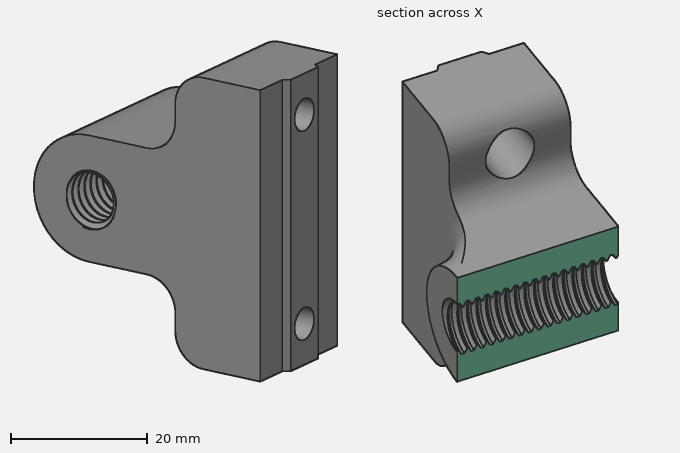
import cadquery as cq
import math

boss_radius = 9.75
boss_length = 26.5
bore_diameter = 7.9

thread_diameter = 9.55
thread_pitch = 1.58
thread_root_width = 0.45
thread_mouth_width = 1.35
thread_start_angle = -10

plate_front = 15.3
plate_back = 30.38
plate_height = 45.0
plate_depth = 20.0
corner_radius = 5.0

tongue_height = 1.0
tongue_width = 8.55
tongue_taper = 0.7

screw_diameter = 5.0
counterbore_diameter = 8.0
counterbore_floor_thickness = 5.0
screw_spacing = 32.25

mid_depth = plate_depth / 2


def bracket_prism(depth):
    """T-shaped side outline extruded along +Y from the front face."""
    half_height = plate_height / 2
    outline = (
        cq.Workplane("XZ")
        .moveTo(0, boss_radius)
        .lineTo(plate_front - corner_radius, boss_radius)
        .radiusArc((plate_front, boss_radius + corner_radius), -corner_radius)
        .lineTo(plate_front, half_height - corner_radius)
        .radiusArc((plate_front + corner_radius, half_height), corner_radius)
        .lineTo(plate_back, half_height)
        .lineTo(plate_back, -half_height)
        .lineTo(plate_front + corner_radius, -half_height)
        .radiusArc((plate_front, corner_radius - half_height), corner_radius)
        .lineTo(plate_front, -boss_radius - corner_radius)
        .radiusArc((plate_front - corner_radius, -boss_radius), -corner_radius)
        .lineTo(0, -boss_radius)
        .threePointArc((-boss_radius, 0), (0, boss_radius))
        .close()
    )
    return outline.extrude(-depth)


def flared_boss():
    """Boss cylinder with a concave flare onto the rear plane of the plate."""
    flare_radius = boss_length - plate_depth
    return (
        cq.Workplane("XY")
        .lineTo(boss_radius + flare_radius, 0)
        .lineTo(boss_radius + flare_radius, plate_depth)
        .radiusArc((boss_radius, boss_length), flare_radius)
        .lineTo(0, boss_length)
        .close()
        .revolve(360, (0, 0), (0, 1))
    )


def tongue():
    """Full-height rib whose two long sides are sloped."""
    half_base = tongue_width / 2
    half_tip = half_base - tongue_taper
    return (
        cq.Workplane("XY", origin=(plate_back, mid_depth, -plate_height / 2))
        .moveTo(0, -half_base)
        .lineTo(tongue_height, -half_tip)
        .lineTo(tongue_height, half_tip)
        .lineTo(0, half_base)
        .close()
        .extrude(plate_height)
    )


def screw_holes():
    """Through holes along X, counterbored from the boss side."""
    counterbore_floor = plate_back - counterbore_floor_thickness
    centers = [(mid_depth, -screw_spacing / 2), (mid_depth, screw_spacing / 2)]
    through = (
        cq.Workplane("YZ")
        .pushPoints(centers)
        .circle(screw_diameter / 2)
        .extrude(plate_back + tongue_height)
    )
    counterbores = (
        cq.Workplane("YZ")
        .pushPoints(centers)
        .circle(counterbore_diameter / 2)
        .extrude(counterbore_floor)
    )
    return through.union(counterbores)


def thread_turn():
    """One full turn of the right-hand thread groove, centred on the front face at its start."""
    bore_radius = bore_diameter / 2
    thread_radius = thread_diameter / 2
    overlap = 0.1
    inner_radius = bore_radius - overlap
    flank_slope = (thread_mouth_width - thread_root_width) / 2 / (thread_radius - bore_radius)
    half_inner = thread_mouth_width / 2 + overlap * flank_slope
    half_root = thread_root_width / 2
    helix = cq.Wire.makeHelix(thread_pitch, thread_pitch, bore_radius)
    groove = (
        cq.Workplane("XZ")
        .moveTo(inner_radius, -half_inner)
        .lineTo(thread_radius, -half_root)
        .lineTo(thread_radius, half_root)
        .lineTo(inner_radius, half_inner)
        .close()
        .sweep(cq.Workplane(obj=helix), isFrenet=True)
    )
    return (
        groove.rotate((0, 0, 0), (1, 0, 0), -90)
        .rotate((0, 0, 0), (0, 1, 0), -thread_start_angle)
    )


body = bracket_prism(plate_depth)
body = body.union(bracket_prism(boss_length).intersect(flared_boss()))
body = body.union(tongue())
body = body.cut(screw_holes())
bore = cq.Workplane("XZ").circle(bore_diameter / 2).extrude(-boss_length)
result = body.cut(bore)

turn = thread_turn()
last_turn = math.ceil(boss_length / thread_pitch)
for index in range(-1, last_turn + 1):
    result = result.cut(turn.translate((0, index * thread_pitch, 0)))